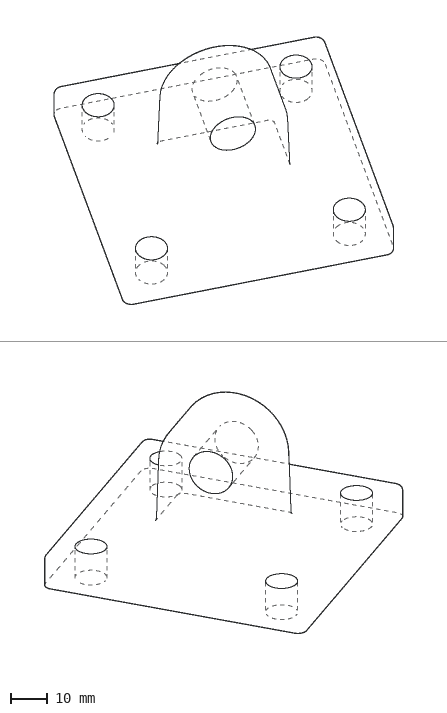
import cadquery as cq
import math

plate_side = 76.2
plate_thickness = 9.525
plate_corner_radius = 2.54
edge_radius = 1.524

mount_hole_diameter = 8.7
mount_hole_spacing = 55.63

pin_height_above_plate = 19.05
lug_thickness = 19.05
head_radius = 15.748
head_center_z = plate_thickness + pin_height_above_plate
flank_angle = math.radians(2)
pin_hole_diameter = 12.7
root_fillet_radius = edge_radius


def make_plate():
    """Square plate with rounded corners and a rounded top rim."""
    plate = cq.Workplane("XY").box(plate_side, plate_side, plate_thickness, centered=(True, True, False))
    plate = plate.edges("|Z").fillet(plate_corner_radius)
    return plate.faces(">Z").edges().fillet(edge_radius)


def make_lug():
    """Lug extruded along X, with flanks tangent to the round head, rooted at the plate's underside."""
    tangent_y = head_radius * math.cos(flank_angle)
    tangent_z = head_center_z + head_radius * math.sin(flank_angle)
    foot_half_width = tangent_y + tangent_z * math.tan(flank_angle)
    lug = (
        cq.Workplane("YZ")
        .moveTo(-foot_half_width, 0)
        .lineTo(foot_half_width, 0)
        .lineTo(tangent_y, tangent_z)
        .threePointArc((0, head_center_z + head_radius), (-tangent_y, tangent_z))
        .close()
        .extrude(lug_thickness / 2, both=True)
    )
    return lug.faces("<X or >X").edges("not <Z").fillet(edge_radius)


def blend_lug_root(body):
    """Fillet the closed joint line between the lug and the plate's top face."""
    reach = lug_thickness
    joint = cq.selectors.BoxSelector(
        (-reach, -reach, plate_thickness - edge_radius / 2),
        (reach, reach, plate_thickness + edge_radius / 2),
    )
    return body.edges(joint).fillet(root_fillet_radius)


def cut_mount_holes(body):
    """Four through holes on a square pattern."""
    return (
        body.faces("<Z")
        .workplane(centerOption="CenterOfBoundBox")
        .rect(mount_hole_spacing, mount_hole_spacing, forConstruction=True)
        .vertices()
        .hole(mount_hole_diameter)
    )


def cut_pin_hole(body):
    """Cross hole through the lug, concentric with its round head."""
    pin = (
        cq.Workplane("YZ")
        .center(0, head_center_z)
        .circle(pin_hole_diameter / 2)
        .extrude(lug_thickness / 2, both=True)
    )
    return body.cut(pin)


body = make_plate().union(make_lug())
body = blend_lug_root(body)
body = cut_mount_holes(body)
result = cut_pin_hole(body)